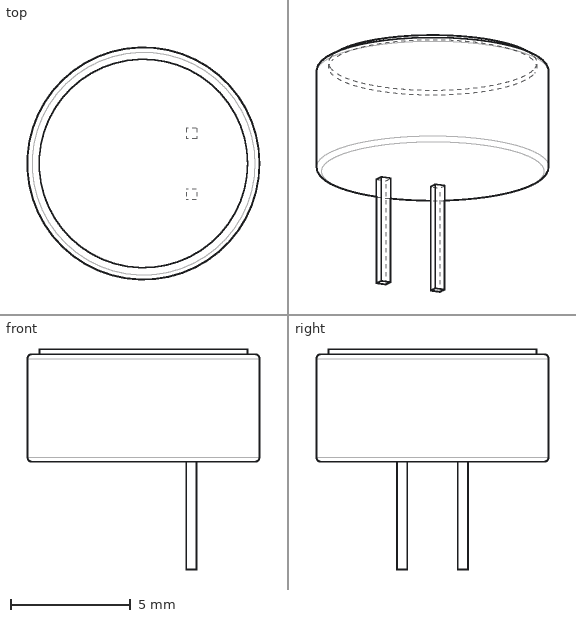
import cadquery as cq

body_diameter = 9.7
body_height = 4.5
edge_radius = 0.2

disc_diameter = 8.7
disc_height = 0.2

pin_width = 0.44
pin_length = 4.5
pin_offset_x = 2.0
pin_pitch = 2.54


def make_body():
    """Cylindrical can with rounded top and bottom rims."""
    can = cq.Workplane("XY").circle(body_diameter / 2).extrude(body_height)
    return can.edges("%CIRCLE").fillet(edge_radius)


def make_disc():
    """Thin disc on the top face of the can."""
    return cq.Workplane("XY", origin=(0, 0, body_height)).circle(disc_diameter / 2).extrude(disc_height)


def make_pins():
    """Pair of square pins hanging from the bottom face."""
    centers = [(pin_offset_x, side * pin_pitch / 2) for side in (-1, 1)]
    return cq.Workplane("XY").pushPoints(centers).rect(pin_width, pin_width).extrude(-pin_length)


result = make_body().union(make_disc()).union(make_pins())